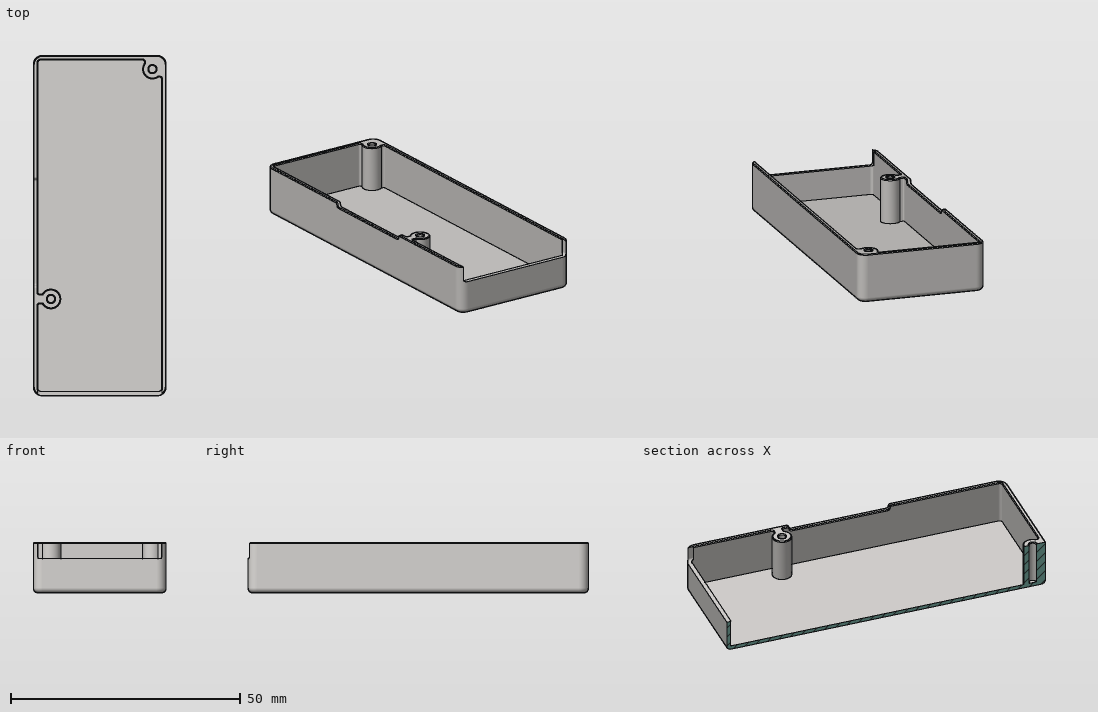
import cadquery as cq
WIDTH = 29.0
LENGTH = 74.3
HEIGHT = 11.0
WALL = 1.02
END_WALL = 1.0
FLOOR = 1.0
CORNER_RADIUS = 2.0
INNER_CORNER_RADIUS = 0.6
BOTTOM_FILLET = 1.0

LEFT = -WIDTH / 2
RIGHT = WIDTH / 2
FRONT = -LENGTH / 2
BACK = LENGTH / 2

BOSS_RADIUS = 2.15
HOLE_DIAMETER = 1.6
HOLE_DEPTH = HEIGHT - FLOOR
CORNER_ROOT_FILLET = 0.4
SIDE_ROOT_FILLET = 0.3
CORNER_BOSS_INSET = 3.0
CORNER_WEB_REACH = 1.75
SIDE_BOSS_INSET = 3.85
SIDE_BOSS_Y = -16.0
SIDE_WEB_WIDTH = 2.2

OPENING_DEPTH = 3.55
OPENING_SIDE = 0.9
OPENING_FILLET = 0.6

RIM_CHAMFER = 0.2

NOTCH_DEPTH = 1.0
NOTCH_FRONT_Y = -13.15
NOTCH_BACK_Y = 10.1
NOTCH_FILLET = NOTCH_DEPTH / 2

CORNER_BOSS = (RIGHT - CORNER_BOSS_INSET, BACK - CORNER_BOSS_INSET)
SIDE_BOSS = (LEFT + SIDE_BOSS_INSET, SIDE_BOSS_Y)


def box_between(low, high):
    """Axis-aligned box between two opposite corners."""
    size = [b - a for a, b in zip(low, high)]
    return cq.Workplane("XY").box(*size, centered=False).translate(low)


def boss_post(center):
    return cq.Workplane("XY").center(*center).circle(BOSS_RADIUS).extrude(HEIGHT)


def outer_block():
    block = box_between((LEFT, FRONT, 0), (RIGHT, BACK, HEIGHT))
    return block.edges("|Z").fillet(CORNER_RADIUS).faces("<Z").edges().fillet(BOTTOM_FILLET)


def corner_boss():
    """Post joined by webs to both walls of the back right corner."""
    x, y = CORNER_BOSS
    far_corner = (RIGHT, BACK, HEIGHT)
    back_web = box_between((x - CORNER_WEB_REACH, y, 0), far_corner)
    right_web = box_between((x, y - CORNER_WEB_REACH, 0), far_corner)
    return boss_post(CORNER_BOSS).union(back_web).union(right_web)


def side_boss():
    """Post joined to the left wall by a web."""
    x, y = SIDE_BOSS
    web = box_between((LEFT, y - SIDE_WEB_WIDTH / 2, 0), (x, y + SIDE_WEB_WIDTH / 2, HEIGHT))
    return boss_post(SIDE_BOSS).union(web)


def fillet_uprights(space, places, radius):
    """Round the upright edges of the cavity that pass through the given places."""
    middle = (FLOOR + HEIGHT) / 2
    for x, y in places:
        space = space.edges(cq.NearestToPointSelector((x, y, middle))).fillet(radius)
    return space


def cavity():
    """Inside of the tray, running around the bosses."""
    space = box_between((LEFT + WALL, FRONT + END_WALL, FLOOR), (RIGHT - WALL, BACK - WALL, HEIGHT))
    space = space.edges("|Z").fillet(INNER_CORNER_RADIUS).cut(corner_boss()).cut(side_boss())
    x, y = CORNER_BOSS
    corner_roots = [
        (x - CORNER_WEB_REACH, BACK - WALL),
        (RIGHT - WALL, y - CORNER_WEB_REACH),
    ]
    side_roots = [
        (LEFT + WALL, SIDE_BOSS_Y - SIDE_WEB_WIDTH / 2),
        (LEFT + WALL, SIDE_BOSS_Y + SIDE_WEB_WIDTH / 2),
    ]
    space = fillet_uprights(space, corner_roots, CORNER_ROOT_FILLET)
    return fillet_uprights(space, side_roots, SIDE_ROOT_FILLET)


def screw_holes():
    top = cq.Workplane("XY").workplane(offset=HEIGHT)
    return top.pushPoints([CORNER_BOSS, SIDE_BOSS]).circle(HOLE_DIAMETER / 2).extrude(-HOLE_DEPTH)


def front_opening():
    low = (LEFT + OPENING_SIDE, FRONT, HEIGHT - OPENING_DEPTH)
    high = (RIGHT - OPENING_SIDE, FRONT + END_WALL + INNER_CORNER_RADIUS, HEIGHT)
    return box_between(low, high).edges("|Y and <Z").fillet(OPENING_FILLET)


def rim_notch():
    """Cutter through the left wall whose ends are rounded above and below."""
    r = NOTCH_FILLET
    bottom = HEIGHT - NOTCH_DEPTH
    profile = (
        cq.Workplane("YZ", origin=(LEFT, 0, 0))
        .moveTo(NOTCH_FRONT_Y - r, HEIGHT)
        .radiusArc((NOTCH_FRONT_Y, HEIGHT - r), r)
        .radiusArc((NOTCH_FRONT_Y + r, bottom), -r)
        .lineTo(NOTCH_BACK_Y - r, bottom)
        .radiusArc((NOTCH_BACK_Y, bottom + r), -r)
        .radiusArc((NOTCH_BACK_Y + r, HEIGHT), r)
        .close()
    )
    return profile.extrude(WALL)


def bevel_rim(body):
    """Bevel the hole mouths and the long edges of the rim, following the notch curves."""
    lip_bottom = HEIGHT - NOTCH_DEPTH - RIM_CHAMFER
    lip_top = HEIGHT + RIM_CHAMFER
    lip = cq.selectors.BoxSelector(
        (LEFT - WALL, FRONT - WALL, lip_bottom),
        (RIGHT + WALL, BACK + WALL, lip_top),
    )
    notch_front = NOTCH_FRONT_Y - NOTCH_FILLET - RIM_CHAMFER
    notch_back = NOTCH_BACK_Y + NOTCH_FILLET + RIM_CHAMFER
    notch_region = cq.selectors.BoxSelector(
        (LEFT - WALL, notch_front, lip_bottom),
        (LEFT + 2 * WALL, notch_back, lip_top),
    )
    across_wall = notch_region & cq.selectors.ParallelDirSelector(cq.Vector(1, 0, 0))
    return body.edges(lip - across_wall).chamfer(RIM_CHAMFER)


tray = outer_block().cut(cavity()).cut(screw_holes()).cut(rim_notch())
result = bevel_rim(tray).cut(front_opening())